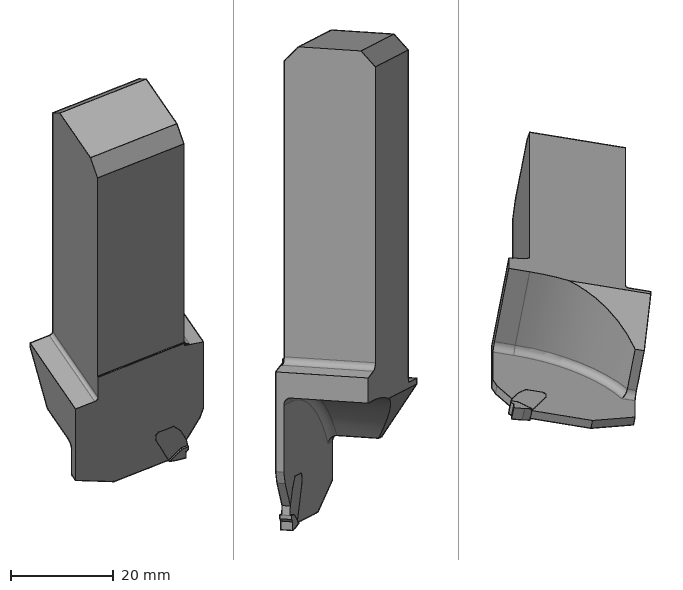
import cadquery as cq
import math

total_height = 96.0
shank_width = 18.9
shank_depth = 19.0
shank_end_chamfer = 3.0

head_width = 19.2
head_front = -5.0
head_back = 23.1
head_step_z = 33.9
shoulder_z = 27.1
shoulder_fillet = 0.8
back_edge_z = 32.1
back_slope = 15.0
back_corner_z = back_edge_z + (head_back - shank_depth) * math.tan(math.radians(back_slope))
back_fillet = 1.5

blade_thickness = 1.7
blade_left = head_width - blade_thickness
blade_bottom = 0.9
blade_front_z = 5.8
blade_bottom_front = 3.5
blade_back_z = 12.3
blade_bend = (22.4, 9.9)

roof_z = shoulder_z
roof_low_z = 15.0
roof_arc_start = shank_depth
roof_arc_end = -3.2
roof_fillet = 1.5
side_slope_top = 25.9
side_slope_run = 7.3

insert_thickness = 2.5
insert_overhang = (insert_thickness - blade_thickness) / 2
tip = (19.1, 0.0)
edge_top = (19.7, 3.1)
seat_back = (19.4, 4.9)
seat_bottom = (15.5, blade_bottom)
insert_body = [
    seat_back, (18.1, 8.2), (17.6, 9.0), (16.6, 10.4),
    (13.2, 10.4), (12.7, 9.7), (12.7, 8.4), seat_bottom,
]
cutting_end = [(17.0, 0.4), tip, (19.1, 1.7), (19.7, 2.3), edge_top]
edge_inner = (18.2, edge_top[1])


def side_plate(points, x_start, x_end):
    """Extrude a closed (Y, Z) outline from x_start to x_end."""
    plane = cq.Workplane("YZ", origin=(x_start, 0, 0))
    return plane.polyline(points).close().extrude(x_end - x_start)


def make_shank():
    outline = [
        (0, head_step_z),
        (shank_width, head_step_z),
        (shank_width, total_height - shank_end_chamfer),
        (shank_width - shank_end_chamfer, total_height),
        (shank_end_chamfer, total_height),
        (0, total_height - shank_end_chamfer),
    ]
    return cq.Workplane("XZ").polyline(outline).close().extrude(-shank_depth)


def make_head():
    outline = [
        (head_front, shoulder_z),
        (0, shoulder_z),
        (0, head_step_z),
        (shank_depth, head_step_z),
        (shank_depth, back_corner_z),
        (head_back, back_edge_z),
        (head_back, blade_back_z),
        blade_bend,
        *insert_body,
        (blade_bottom_front, blade_bottom),
        (head_front, blade_front_z),
    ]
    return side_plate(outline, 0, head_width)


def make_back_fillet():
    """Concave blend between the shank's back face and the sloping top of the head."""
    slope = math.radians(back_slope)
    reach = back_fillet * math.tan((math.pi / 2 - slope) / 2)
    center_y = shank_depth + back_fillet
    center_z = back_corner_z + reach
    middle = math.pi + (math.pi / 2 - slope) / 2
    return (
        cq.Workplane("YZ")
        .moveTo(shank_depth, back_corner_z)
        .lineTo(shank_depth, center_z)
        .threePointArc(
            (center_y + back_fillet * math.cos(middle), center_z + back_fillet * math.sin(middle)),
            (shank_depth + reach * math.cos(slope), back_corner_z - reach * math.sin(slope)),
        )
        .close()
        .extrude(shank_width)
    )


def make_blade_relief():
    """Space left of the blade, with a roof that curves down to the front."""
    run = roof_arc_start - roof_arc_end
    drop = roof_z - roof_low_z
    radius = (run**2 + drop**2) / (2 * drop)
    half_angle = math.asin(run / radius) / 2
    arc_middle = (
        roof_arc_start - radius * math.sin(half_angle),
        roof_z - radius * (1 - math.cos(half_angle)),
    )
    margin = 1.0
    relief = (
        cq.Workplane("YZ", origin=(-margin, 0, 0))
        .moveTo(head_back + margin, -margin)
        .lineTo(head_back + margin, roof_z)
        .lineTo(roof_arc_start, roof_z)
        .threePointArc(arc_middle, (roof_arc_end, roof_low_z))
        .lineTo(head_front - margin, roof_low_z)
        .lineTo(head_front - margin, -margin)
        .close()
        .extrude(blade_left + margin)
    )
    roof_edges = cq.selectors.BoxSelector(
        (blade_left - margin / 2, head_front - margin / 2, roof_low_z - margin),
        (blade_left + margin / 2, head_back + margin / 2, roof_z + margin),
    )
    return relief.edges(roof_edges).fillet(roof_fillet)


def make_side_slope():
    """Wedge that bevels the left side of the head down to the low end of the roof."""
    outline = [(0, side_slope_top), (side_slope_run, roof_low_z), (0, roof_low_z)]
    return (
        cq.Workplane("XZ", origin=(0, head_front, 0))
        .polyline(outline)
        .close()
        .extrude(head_front - head_back)
    )


def make_holder():
    body = make_head().cut(make_blade_relief()).cut(make_side_slope())
    body = body.union(make_shank()).union(make_back_fillet())
    shoulder_corner = cq.selectors.BoxSelector(
        (0, -shoulder_fillet, shoulder_z - shoulder_fillet),
        (head_width, shoulder_fillet, shoulder_z + shoulder_fillet),
    )
    return body.edges("|X").edges(shoulder_corner).fillet(shoulder_fillet)


def make_insert():
    body = side_plate(insert_body + cutting_end, blade_left, head_width)
    wide_end = side_plate(
        [seat_bottom] + cutting_end + [edge_inner],
        blade_left - insert_overhang,
        head_width + insert_overhang,
    )
    return body.union(wide_end)


holder = make_holder()
insert = make_insert()
result = cq.Compound.makeCompound([holder.val(), insert.val()])